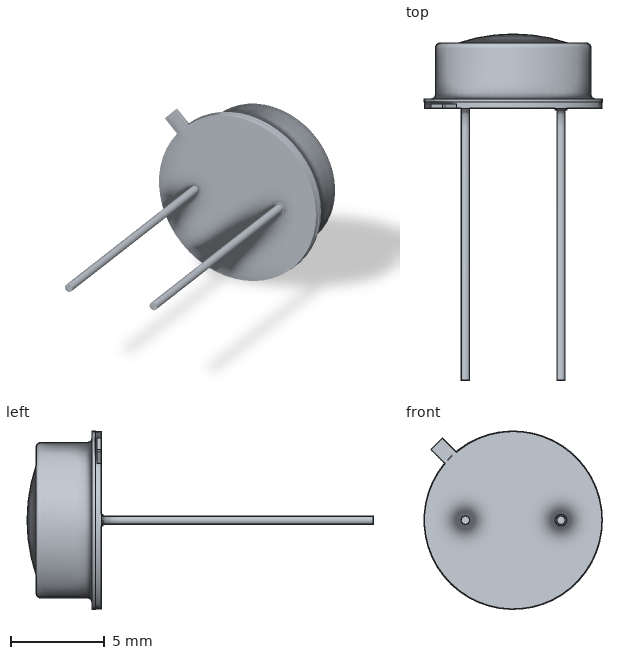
import cadquery as cq
import math

total_length = 18.45
pin_length = 14.48
dome_top = total_length - pin_length

flange_radius = 4.75
base_radius = 4.72
base_thickness = 0.33
flange_top = 0.52

can_radius = 4.15
can_top = 3.49
can_top_fillet = 0.28
can_foot_fillet = 0.2
dome_radius = 2.92

tab_width = 0.87
tab_thickness = 0.24
tab_reach = 5.75
tab_angle = 135.0

pin_radius = 0.22
pin_offset = 2.55
collar_radius = 0.31
collar_height = 0.07


def cylinder(x, radius, y_start, y_end):
    """Round bar parallel to Y, centred at (x, Z = 0)."""
    start = cq.Vector(x, y_start, 0)
    return cq.Workplane(cq.Solid.makeCylinder(radius, y_end - y_start, start, cq.Vector(0, 1, 0)))


def make_body():
    """Header, can and dome revolved from one half profile about Y."""
    corner_mid = can_top_fillet * math.sqrt(0.5)
    foot_mid = can_foot_fillet * (1 - math.sqrt(0.5))
    dome_height = dome_top - can_top
    sphere_radius = (dome_radius**2 + dome_height**2) / (2 * dome_height)
    dome_mid_x = dome_radius / 2
    dome_mid_y = dome_top - sphere_radius + math.sqrt(sphere_radius**2 - dome_mid_x**2)
    corner_x = can_radius - can_top_fillet
    corner_y = can_top - can_top_fillet
    profile = (
        cq.Workplane("XY")
        .lineTo(base_radius, 0)
        .lineTo(base_radius, base_thickness)
        .lineTo(flange_radius, base_thickness)
        .lineTo(flange_radius, flange_top)
        .lineTo(can_radius + can_foot_fillet, flange_top)
        .threePointArc(
            (can_radius + foot_mid, flange_top + foot_mid),
            (can_radius, flange_top + can_foot_fillet),
        )
        .lineTo(can_radius, corner_y)
        .threePointArc((corner_x + corner_mid, corner_y + corner_mid), (corner_x, can_top))
        .lineTo(dome_radius, can_top)
        .threePointArc((dome_mid_x, dome_mid_y), (0, dome_top))
        .close()
    )
    return profile.revolve(360, (0, 0, 0), (0, 1, 0))


def make_tab():
    """Radial index tab, flush with the underside of the header."""
    return (
        cq.Workplane("XY")
        .box(tab_reach, tab_thickness, tab_width, centered=(False, False, True))
        .rotate((0, 0, 0), (0, 1, 0), -tab_angle)
    )


result = make_body().union(make_tab())
for pin_x in (-pin_offset, pin_offset):
    result = result.union(cylinder(pin_x, pin_radius, -pin_length, base_thickness))

result = result.union(cylinder(pin_offset, collar_radius, -collar_height, base_thickness))